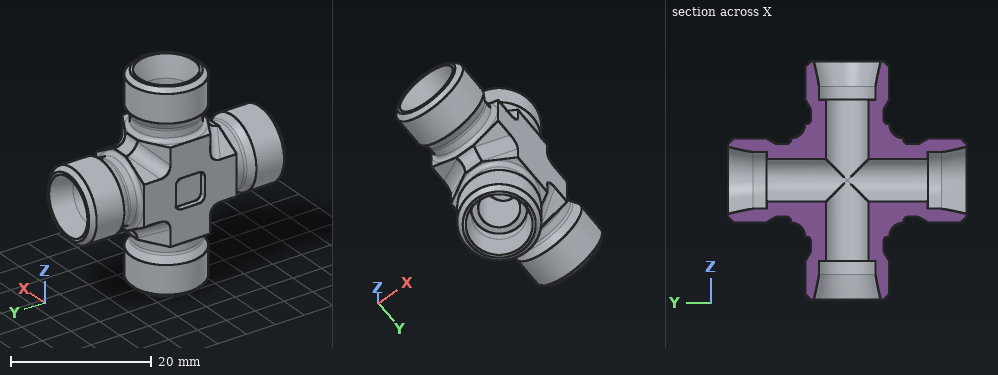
import cadquery as cq
import math

SPAN = 34.0
FLATS = 12.0
BLOCK = 16.08

CORNER_FILLET = 2.0

GROOVE_DIAMETER = 10.4
LEAD_IN = 0.75
THREAD_END = 5.55
RUNOUT_ANGLE = 30.0
RUNOUT_BLEND = 0.85
ROOT_FILLET = 0.68

THROUGH_DIAMETER = 6.0
SOCKET_DIAMETER = 8.0
SOCKET_DEPTH = 5.5
MOUTH_DIAMETER = 9.52
CONE_ANGLE = 12.0

RECESS_SIDE = 5.03
RECESS_RADIUS = 1.02
RECESS_DEPTH = 1.0

HALF_SPAN = SPAN / 2
HALF_BLOCK = BLOCK / 2
HALF_FLATS = FLATS / 2
HEX_CORNERS = FLATS / math.cos(math.pi / 6)

POINT_TURN = 30
AXIS_ANGLES = (0, 90, 180, 270)


def half_arm(length):
    """The +X half of a hexagonal bar along Z, with flats facing X and points facing Y."""
    bar = cq.Workplane("XY").polygon(6, HEX_CORNERS).extrude(length / 2, both=True)
    bar = bar.rotate((0, 0, 0), (0, 0, 1), POINT_TURN)
    keep = cq.Workplane("XY").box(FLATS, SPAN, SPAN).translate((HALF_FLATS, 0, 0))
    return bar.intersect(keep)


def centre_block():
    """Two crossed hexagonal bars, blended in their inner corners and scooped between the arms."""
    upright = half_arm(SPAN)
    level = upright.rotate((0, 0, 0), (1, 0, 0), 90)
    half = upright.union(level)
    core = cq.selectors.BoxSelector((-FLATS, -HALF_BLOCK, -HALF_BLOCK), (FLATS, HALF_BLOCK, HALF_BLOCK))
    half = half.edges(core).edges("not #X").fillet(CORNER_FILLET)
    block = half.union(half.mirror("YZ"))
    block = block.intersect(cq.Workplane("XY").box(FLATS, BLOCK, BLOCK))
    scoops = (
        cq.Workplane("YZ", origin=(-HALF_FLATS, 0, 0))
        .rect(BLOCK, BLOCK, forConstruction=True)
        .vertices()
        .circle(CORNER_FILLET)
        .extrude(FLATS)
    )
    return block.cut(scoops)


def stub():
    """Threaded end along +Z: lead-in chamfer, thread cylinder, run-out cone, undercut, root fillet."""
    groove = GROOVE_DIAMETER / 2
    runout = (HALF_FLATS - groove) / math.tan(math.radians(RUNOUT_ANGLE))
    thread_low = HALF_SPAN - THREAD_END
    groove_top = thread_low - runout
    turn = math.radians(RUNOUT_ANGLE)
    tangent = RUNOUT_BLEND * math.tan(turn / 2)
    blend_start = (groove, groove_top - tangent)
    blend_middle = (
        groove + RUNOUT_BLEND * (1 - math.cos(turn / 2)),
        groove_top - tangent + RUNOUT_BLEND * math.sin(turn / 2),
    )
    blend_end = (groove + tangent * math.sin(turn), groove_top + tangent * math.cos(turn))
    root_middle = ROOT_FILLET * (1 - math.sqrt(0.5))
    return (
        cq.Workplane("XZ")
        .lineTo(groove + ROOT_FILLET, 0)
        .lineTo(groove + ROOT_FILLET, HALF_BLOCK)
        .threePointArc((groove + root_middle, HALF_BLOCK + root_middle), (groove, HALF_BLOCK + ROOT_FILLET))
        .lineTo(*blend_start)
        .threePointArc(blend_middle, blend_end)
        .lineTo(HALF_FLATS, thread_low)
        .lineTo(HALF_FLATS, HALF_SPAN - LEAD_IN)
        .lineTo(groove, HALF_SPAN)
        .lineTo(0, HALF_SPAN)
        .close()
        .revolve(360, (0, 0, 0), (0, 1, 0))
    )


def bore():
    """Bore along +Z from the centre: through hole, tube socket and sealing cone."""
    socket = SOCKET_DIAMETER / 2
    mouth = MOUTH_DIAMETER / 2
    cone_depth = (mouth - socket) / math.tan(math.radians(CONE_ANGLE))
    return (
        cq.Workplane("XZ")
        .lineTo(THROUGH_DIAMETER / 2, 0)
        .lineTo(THROUGH_DIAMETER / 2, HALF_SPAN - SOCKET_DEPTH)
        .lineTo(socket, HALF_SPAN - SOCKET_DEPTH)
        .lineTo(socket, HALF_SPAN - cone_depth)
        .lineTo(mouth, HALF_SPAN)
        .lineTo(0, HALF_SPAN)
        .close()
        .revolve(360, (0, 0, 0), (0, 1, 0))
    )


def marking_recess():
    """Shallow rounded square sunk into the -X face."""
    return (
        cq.Workplane("YZ", origin=(-HALF_FLATS, 0, 0))
        .rect(RECESS_SIDE, RECESS_SIDE)
        .extrude(RECESS_DEPTH)
        .edges("|X")
        .fillet(RECESS_RADIUS)
    )


result = centre_block()
for angle in AXIS_ANGLES:
    result = result.union(stub().rotate((0, 0, 0), (1, 0, 0), angle))
for angle in AXIS_ANGLES:
    result = result.cut(bore().rotate((0, 0, 0), (1, 0, 0), angle))
result = result.cut(marking_recess())